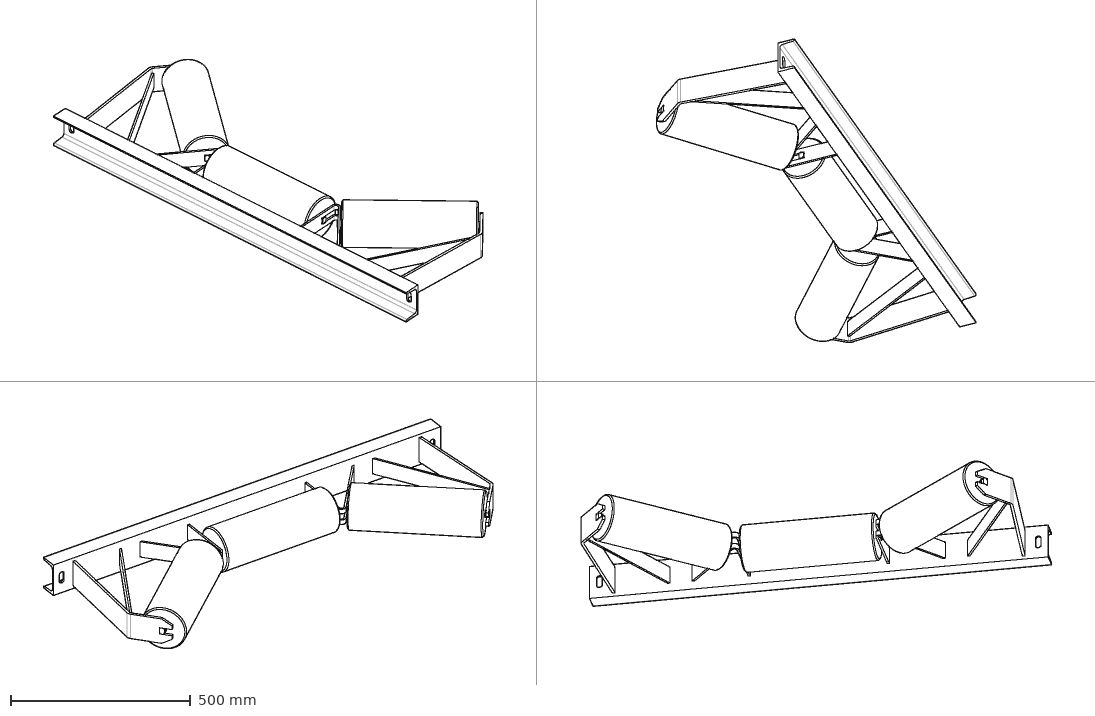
import cadquery as cq
import math


channel_length = 1300.0
channel_height = 100.0
flange_width = 50.0
web_thickness = 6.0
flange_thickness = 8.5
flange_slope = 0.08
root_radius = 8.5
toe_radius = 4.5
mount_slot_width = 16.0
mount_slot_length = 36.0
mount_slot_from_end = 28.0

roller_radius = 66.5
roller_length = 380.0
roller_chamfer = 4.0
shaft_diameter = 20.0
shaft_flats = 14.0
middle_axis_y = 118.0
side_center_x = -394.5
side_center_y = 260.04
trough_angle = 40.0

inner_width = 50.0
inner_thickness = 6.0
inner_bend_radius = 10.0
inner_gap = 4.0

outer_width = 80.0
outer_thickness = 8.0
outer_bend_radius = 12.0
outer_gap = 5.0
outer_foot_x = -581.0
outer_leg_lean = 5.0
plate_overhang = 29.0
plate_corner_width = 18.0
plate_corner_length = 30.0

brace_width = 50.0
brace_thickness = 6.0
brace_foot_x = -425.0
brace_lean = 29.2

inner_face = roller_length / 2 + inner_gap
inner_offset = inner_face + inner_thickness / 2
outer_offset = roller_length / 2 + outer_gap + outer_thickness / 2
shaft_half_length = outer_offset + outer_thickness / 2

trim_allowance = 40.0
cutter_size = 4 * trim_allowance


def step(point, direction, distance):
    """Point reached from a point along a unit direction."""
    return (point[0] + distance * direction[0], point[1] + distance * direction[1])


def direction_to(start, end):
    """Unit direction from one point to another."""
    length = math.dist(start, end)
    return ((end[0] - start[0]) / length, (end[1] - start[1]) / length)


def leaning_up(angle):
    """Unit direction tilted from +Y toward -X by an angle in degrees."""
    return (-math.sin(math.radians(angle)), math.cos(math.radians(angle)))


def line_crossing(point_a, direction_a, point_b, direction_b):
    """Point where two lines cross."""
    cross = direction_a[0] * direction_b[1] - direction_a[1] * direction_b[0]
    offset_x = point_b[0] - point_a[0]
    offset_y = point_b[1] - point_a[1]
    return step(point_a, direction_a, (offset_x * direction_b[1] - offset_y * direction_b[0]) / cross)


def place(body, origin, direction):
    """Turn a body about Z so its X axis follows a direction, then move it to an origin."""
    angle = math.degrees(math.atan2(direction[1], direction[0]))
    return body.rotate((0, 0, 0), (0, 0, 1), angle).translate((origin[0], origin[1], 0))


def trim_at_channel(body):
    """Cut off everything below the channel face Y = 0."""
    below = cq.Workplane("XY").box(channel_length, cutter_size, cutter_size)
    return body.cut(below.translate((0, -cutter_size / 2, 0)))


def make_bent_bar(start, corner, end, bend_radius, thickness, width):
    """Flat bar whose middle line runs start - corner - end, rounded at the corner."""
    to_start = direction_to(corner, start)
    to_end = direction_to(corner, end)
    half_angle = math.acos(to_start[0] * to_end[0] + to_start[1] * to_end[1]) / 2
    tangent_length = bend_radius / math.tan(half_angle)
    inward = direction_to((0, 0), (to_start[0] + to_end[0], to_start[1] + to_end[1]))
    bend_center = step(corner, inward, bend_radius / math.sin(half_angle))
    normal_start = direction_to(bend_center, step(corner, to_start, tangent_length))
    normal_end = direction_to(bend_center, step(corner, to_end, tangent_length))
    normal_middle = (-inward[0], -inward[1])
    half = thickness / 2
    outside = bend_radius + half
    inside = bend_radius - half
    return (
        cq.Workplane("XY")
        .workplane(offset=-width / 2)
        .moveTo(*step(start, normal_start, half))
        .lineTo(*step(bend_center, normal_start, outside))
        .threePointArc(
            step(bend_center, normal_middle, outside),
            step(bend_center, normal_end, outside),
        )
        .lineTo(*step(end, normal_end, half))
        .lineTo(*step(end, normal_end, -half))
        .lineTo(*step(bend_center, normal_end, inside))
        .threePointArc(
            step(bend_center, normal_middle, inside),
            step(bend_center, normal_start, inside),
        )
        .lineTo(*step(start, normal_start, -half))
        .close()
        .extrude(width)
    )


def make_shaft_slot(seat, up, length):
    """Cutter for an open slot: its floor carries the lower flat of the shaft at the seat."""
    floor = shaft_flats / 2
    cutter = cq.Workplane("XY").box(length + floor, 3 * outer_thickness, shaft_diameter)
    return place(cutter.translate(((length - floor) / 2, 0, 0)), seat, up)


side_center = (side_center_x, side_center_y)
axis_outward = leaning_up(90 - trough_angle)
plate_up = leaning_up(-trough_angle)
side_inner_seat = step(side_center, axis_outward, -inner_offset)
side_outer_seat = step(side_center, axis_outward, outer_offset)
middle_seat = (-inner_offset, middle_axis_y)

leg_up = leaning_up(outer_leg_lean)
outer_foot = (outer_foot_x, 0)
outer_corner = line_crossing(side_outer_seat, plate_up, outer_foot, leg_up)


def make_channel():
    half_height = channel_height / 2
    middle_z = half_height - flange_thickness
    toe_z = middle_z + flange_slope * flange_width / 2
    root_z = middle_z - flange_slope * (flange_width / 2 - web_thickness)
    section = [
        (0, -half_height),
        (0, half_height),
        (-flange_width, half_height),
        (-flange_width, toe_z),
        (-web_thickness, root_z),
        (-web_thickness, -root_z),
        (-flange_width, -toe_z),
        (-flange_width, -half_height),
    ]
    body = cq.Workplane("YZ").polyline(section).close().extrude(channel_length / 2, both=True)

    def lengthwise_edges(y, z):
        """Pick the edges along X at a given y, within z of the middle plane."""
        margin = 0.1
        return cq.selectors.BoxSelector(
            (-channel_length, y - margin, -z - margin),
            (channel_length, y + margin, z + margin),
        )

    body = body.edges("|X").edges(lengthwise_edges(-web_thickness, root_z)).fillet(root_radius)
    body = body.edges("|X").edges(lengthwise_edges(-flange_width, toe_z)).fillet(toe_radius)

    slot_x = channel_length / 2 - mount_slot_from_end
    slots = (
        cq.Workplane("XZ")
        .pushPoints([(-slot_x, 0), (slot_x, 0)])
        .slot2D(mount_slot_length, mount_slot_width, 90)
        .extrude(web_thickness)
    )
    return body.cut(slots)


def make_roller(center, axis):
    """Roller shell with its shaft; the shaft ends have flats that face along the slots."""
    shell = (
        cq.Workplane("YZ", origin=(-roller_length / 2, 0, 0))
        .circle(roller_radius)
        .extrude(roller_length)
        .edges("%CIRCLE")
        .chamfer(roller_chamfer)
    )
    round_shaft = cq.Workplane("YZ").circle(shaft_diameter / 2).extrude(inner_face, both=True)
    flat_bar = cq.Workplane("XY").box(2 * shaft_half_length, shaft_flats, shaft_diameter)
    flat_ends = (
        cq.Workplane("YZ")
        .circle(shaft_diameter / 2)
        .extrude(shaft_half_length, both=True)
        .intersect(flat_bar)
    )
    return place(shell.union(round_shaft).union(flat_ends), center, axis)


def make_inner_bracket():
    corner = line_crossing(side_inner_seat, plate_up, middle_seat, (0, 1))
    leg_foot = (middle_seat[0], -trim_allowance)
    diagonal_foot = step(corner, plate_up, -(corner[1] + trim_allowance) / plate_up[1])
    bracket = make_bent_bar(
        leg_foot, corner, diagonal_foot, inner_bend_radius, inner_thickness, inner_width
    )
    bracket = trim_at_channel(bracket)
    bracket = bracket.cut(make_shaft_slot(middle_seat, (0, 1), math.dist(middle_seat, corner)))
    return bracket.cut(make_shaft_slot(side_inner_seat, plate_up, math.dist(side_inner_seat, corner)))


def make_outer_bracket():
    leg_start = step(outer_foot, leg_up, -trim_allowance)
    plate_end = step(side_outer_seat, plate_up, plate_overhang)
    bracket = make_bent_bar(
        leg_start, outer_corner, plate_end, outer_bend_radius, outer_thickness, outer_width
    )
    bracket = trim_at_channel(bracket)
    bracket = bracket.cut(make_shaft_slot(side_outer_seat, plate_up, plate_overhang))

    half_width = outer_width / 2
    corner_cut = (
        cq.Workplane("XZ")
        .moveTo(plate_overhang, half_width)
        .lineTo(plate_overhang - plate_corner_length, half_width)
        .lineTo(plate_overhang, half_width - plate_corner_width)
        .close()
        .extrude(outer_thickness, both=True)
    )
    for cut in (corner_cut, corner_cut.mirror("XY")):
        bracket = bracket.cut(place(cut, side_outer_seat, plate_up))
    return bracket


def make_brace(outer_bracket):
    """Straight bar trimmed to the channel face and to the inside of the bracket bend."""
    brace_up = leaning_up(brace_lean)
    foot = (brace_foot_x, 0)
    start = step(foot, brace_up, -trim_allowance)
    top = line_crossing(foot, brace_up, outer_corner, (1, 0))
    bar = cq.Workplane("XY").box(
        math.dist(start, top), brace_thickness, brace_width, centered=(False, True, True)
    )
    return trim_at_channel(place(bar, start, brace_up)).cut(outer_bracket)


channel = make_channel()
middle_roller = make_roller((0, middle_axis_y), (1, 0))
side_roller = make_roller(side_center, axis_outward)
inner_bracket = make_inner_bracket()
outer_bracket = make_outer_bracket()
brace = make_brace(outer_bracket)

bodies = [channel.solids().val(), middle_roller.solids().val()]
for side_part in (side_roller, inner_bracket, outer_bracket, brace):
    bodies.append(side_part.solids().val())
    bodies.append(side_part.mirror("YZ").solids().val())

result = cq.Compound.makeCompound(bodies)